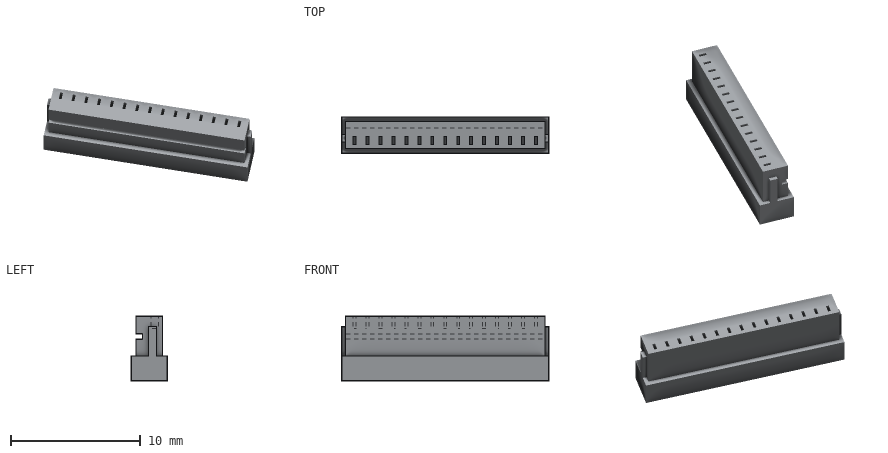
import cadquery as cq

length = 16.0
width = 2.8
height = 5.0

base_height = 1.94
body_end_inset = 0.3
body_side_inset = 0.37
body_length = length - 2 * body_end_inset
body_width = width - 2 * body_side_inset

rib_width = 0.6
rib_center_y = -0.24
rib_top_drop = 0.8

groove_top_drop = 1.36
groove_height = 0.4
groove_depth = 0.5

contact_count = 15
contact_pitch = length / (contact_count + 1)
pocket_length = 0.22
pocket_width = 0.6
pocket_center_y = -0.42
pocket_depth = 0.96


def block(size_x, size_y, bottom_z, top_z, center_y=0.0):
    """Box centred on X, spanning the given heights."""
    box = cq.Workplane("XY").box(size_x, size_y, top_z - bottom_z, centered=(True, True, False))
    return box.translate((0, center_y, bottom_z))


base = block(length, width, 0, base_height)
body = block(body_length, body_width, 0, height)

end_ribs = block(length, rib_width, 0, height - rib_top_drop, rib_center_y)

groove_top = height - groove_top_drop
groove_center_y = (body_width - groove_depth) / 2
groove = block(body_length, groove_depth, groove_top - groove_height, groove_top, groove_center_y)

pockets = (
    cq.Workplane("XY", origin=(0, pocket_center_y, height))
    .rarray(contact_pitch, 0.16, contact_count, 1)
    .rect(pocket_length, pocket_width)
    .extrude(-pocket_depth)
)

result = body.cut(groove).union(base).union(end_ribs).cut(pockets)